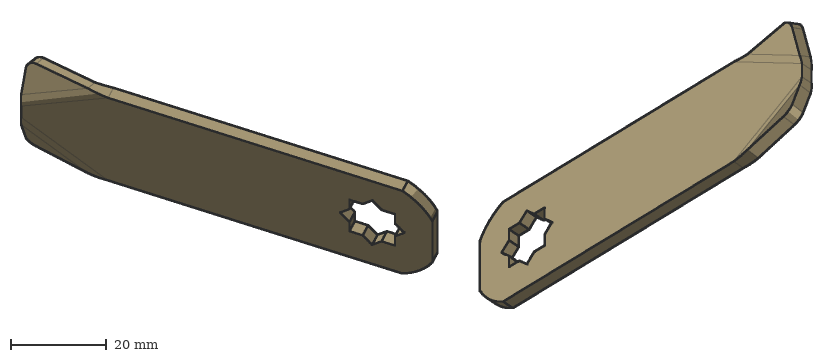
import cadquery as cq
import math

LENGTH = 92.7
WIDTH = 27.0
HALF_WIDTH = WIDTH / 2
THICKNESS = 3.0
CORNER_RADIUS = 2.2

HOLE_X = 79.1
END_RADIUS = 15.1
STAR_SQUARE = 10.2
STAR_TURNS = (0, 45)

BEND_SLANT = math.radians(30.8)
BEND_GAP = 3.6
BEND_START_Z = BEND_GAP / 2
BEND_ANGLE = math.radians(21)
NEUTRAL_FRACTION = 0.57
INNER_RADIUS = 4.7
OUTER_RADIUS = INNER_RADIUS + THICKNESS
NEUTRAL_RADIUS = INNER_RADIUS + NEUTRAL_FRACTION * THICKNESS
BEND_LENGTH = NEUTRAL_RADIUS * BEND_ANGLE
BEND_SECTIONS = 5

ALONG = cq.Vector(math.cos(BEND_SLANT), 0, math.sin(BEND_SLANT))
ACROSS = cq.Vector(-math.sin(BEND_SLANT), 0, math.cos(BEND_SLANT))
THROUGH = cq.Vector(0, 1, 0)
BEND_ORIGIN = cq.Vector(0, 0, BEND_START_Z)
FOLD_HEIGHT = HALF_WIDTH - BEND_START_Z


def sheet_limits(distance):
    """Ends along the bend line of the unfolded sheet, at a distance across it."""
    left = distance * math.tan(BEND_SLANT)
    top = (FOLD_HEIGHT - distance * math.cos(BEND_SLANT)) / math.sin(BEND_SLANT)
    return left, top


def make_plate():
    bend_end_x = FOLD_HEIGHT / math.tan(BEND_SLANT)
    arc_start_x = HOLE_X + math.sqrt(END_RADIUS**2 - HALF_WIDTH**2)
    end_half_width = math.sqrt(END_RADIUS**2 - (LENGTH - HOLE_X) ** 2)
    arc_angle = (math.atan2(HALF_WIDTH, arc_start_x - HOLE_X)
                 + math.atan2(end_half_width, LENGTH - HOLE_X)) / 2
    arc_x = HOLE_X + END_RADIUS * math.cos(arc_angle)
    arc_z = END_RADIUS * math.sin(arc_angle)
    plate = (
        cq.Workplane("XZ")
        .moveTo(0, BEND_START_Z)
        .lineTo(bend_end_x, HALF_WIDTH)
        .lineTo(arc_start_x, HALF_WIDTH)
        .threePointArc((arc_x, arc_z), (LENGTH, end_half_width))
        .lineTo(LENGTH, -end_half_width)
        .threePointArc((arc_x, -arc_z), (arc_start_x, -HALF_WIDTH))
        .lineTo(bend_end_x, -HALF_WIDTH)
        .lineTo(0, -BEND_START_Z)
        .close()
        .extrude(-THICKNESS)
    )
    for turn in STAR_TURNS:
        plate = plate.cut(
            cq.Workplane("XZ", origin=(HOLE_X, 0, 0))
            .transformed(rotate=(0, 0, turn))
            .rect(STAR_SQUARE, STAR_SQUARE)
            .extrude(-THICKNESS)
        )
    return plate


def bend_point(angle, radius, along):
    across = radius * math.sin(angle)
    through = OUTER_RADIUS - radius * math.cos(angle)
    return BEND_ORIGIN + ALONG * along + ACROSS * across + THROUGH * through


def make_bend():
    sections = []
    for index in range(BEND_SECTIONS):
        angle = BEND_ANGLE * index / (BEND_SECTIONS - 1)
        left, top = sheet_limits(NEUTRAL_RADIUS * angle)
        corners = [
            bend_point(angle, OUTER_RADIUS, left),
            bend_point(angle, OUTER_RADIUS, top),
            bend_point(angle, INNER_RADIUS, top),
            bend_point(angle, INNER_RADIUS, left),
        ]
        sections.append(cq.Wire.makePolygon(corners, close=True))
    return cq.Workplane(cq.Solid.makeLoft(sections))


def make_flap():
    left, top = sheet_limits(BEND_LENGTH)
    corner_along = FOLD_HEIGHT * math.sin(BEND_SLANT)
    corner_across = FOLD_HEIGHT * math.cos(BEND_SLANT) - BEND_LENGTH
    sheet_normal = THROUGH * math.cos(BEND_ANGLE) - ACROSS * math.sin(BEND_ANGLE)
    flap_plane = cq.Plane(
        origin=bend_point(BEND_ANGLE, OUTER_RADIUS, 0),
        xDir=ALONG,
        normal=sheet_normal * -1,
    )
    flap = (
        cq.Workplane(flap_plane)
        .polyline([(left, 0), (top, 0), (corner_along, corner_across)])
        .close()
        .extrude(-THICKNESS)
    )
    corner = cq.NearestToPointSelector(
        flap_plane.toWorldCoords((corner_along, corner_across, -THICKNESS / 2))
    )
    return flap.edges(corner).fillet(CORNER_RADIUS)


folded_corner = make_bend().union(make_flap())
result = make_plate().union(folded_corner).union(folded_corner.mirror("XY"))